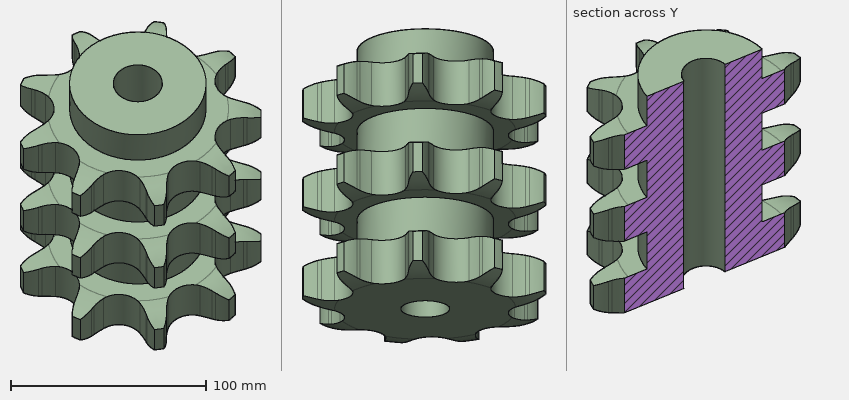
import cadquery as cq
import math

TOTAL_HEIGHT = 140.0
HUB_DIAMETER = 70.0
BORE_DIAMETER = 25.0

TOOTH_COUNT = 9
CHAIN_PITCH = 38.1
ROLLER_DIAMETER = 25.3
TIP_DIAMETER = 126.4

STRAND_COUNT = 3
STRAND_SPACING = 48.3
TOOTH_WIDTH = 23.7

RELIEF_START_DIAMETER = 93.0
RELIEF_RADIUS = CHAIN_PITCH

CUT_MARGIN = 1.4

TOOTH_ANGLE = 360 / TOOTH_COUNT
HALF_TOOTH = math.radians(TOOTH_ANGLE / 2)
PITCH_RADIUS = CHAIN_PITCH / 2 / math.sin(HALF_TOOTH)
TIP_RADIUS = TIP_DIAMETER / 2

SEAT_RADIUS = 1.005 * ROLLER_DIAMETER / 2
HOLLOW_CENTRE_OFFSET = 0.8 * ROLLER_DIAMETER
TOPPING_CENTRE_OFFSET = 1.4 * ROLLER_DIAMETER
HOLLOW_RADIUS = SEAT_RADIUS + HOLLOW_CENTRE_OFFSET
SEAT_END_ANGLE = math.radians(35 + 60 / TOOTH_COUNT)
HOLLOW_SWEEP = math.radians(18 - 56 / TOOTH_COUNT)
TOPPING_ANGLE = math.radians(17 - 64 / TOOTH_COUNT)
STRAIGHT_LENGTH = (
    TOPPING_CENTRE_OFFSET * math.sin(TOPPING_ANGLE)
    - HOLLOW_CENTRE_OFFSET * math.sin(HOLLOW_SWEEP)
)


def polar(centre, radius, angle):
    return (centre[0] + radius * math.cos(angle), centre[1] + radius * math.sin(angle))


def mirrored(point):
    return (-point[0], point[1])


def gap_outline():
    """Closed outline of the gap centred on +Y, from the roller seat out past the tips."""
    roller_centre = (0, PITCH_RADIUS)
    seat_bottom = (0, PITCH_RADIUS - SEAT_RADIUS)

    seat_end = polar(roller_centre, SEAT_RADIUS, math.pi + SEAT_END_ANGLE)
    hollow_centre = polar(roller_centre, HOLLOW_CENTRE_OFFSET, SEAT_END_ANGLE)
    hollow_end_angle = math.pi + SEAT_END_ANGLE - HOLLOW_SWEEP
    hollow_middle = polar(hollow_centre, HOLLOW_RADIUS, hollow_end_angle + HOLLOW_SWEEP / 2)
    hollow_end = polar(hollow_centre, HOLLOW_RADIUS, hollow_end_angle)
    straight_end = polar(hollow_end, STRAIGHT_LENGTH, hollow_end_angle - math.pi / 2)

    topping_centre = polar(roller_centre, TOPPING_CENTRE_OFFSET, math.pi + HALF_TOOTH)
    topping_x = straight_end[0] - topping_centre[0]
    topping_y = straight_end[1] - topping_centre[1]
    topping_radius = math.hypot(topping_x, topping_y)
    topping_start_angle = math.atan2(topping_y, topping_x)

    centre_distance = math.hypot(*topping_centre)
    angle_at_centre = math.acos(
        (topping_radius**2 + centre_distance**2 - TIP_RADIUS**2)
        / (2 * topping_radius * centre_distance)
    )
    to_axis = math.atan2(-topping_centre[1], -topping_centre[0])
    topping_end_angle = to_axis + angle_at_centre
    topping_middle_angle = (topping_start_angle + topping_end_angle) / 2
    topping_middle = polar(topping_centre, topping_radius, topping_middle_angle)
    tip = polar(topping_centre, topping_radius, topping_end_angle)

    outside_scale = 1 + CUT_MARGIN / TIP_RADIUS
    outside = (tip[0] * outside_scale, tip[1] * outside_scale)

    return (
        cq.Workplane("XY")
        .moveTo(*outside)
        .lineTo(*tip)
        .threePointArc(topping_middle, straight_end)
        .lineTo(*hollow_end)
        .threePointArc(hollow_middle, seat_end)
        .threePointArc(seat_bottom, mirrored(seat_end))
        .threePointArc(mirrored(hollow_middle), mirrored(hollow_end))
        .lineTo(*mirrored(straight_end))
        .threePointArc(mirrored(topping_middle), mirrored(tip))
        .lineTo(*mirrored(outside))
        .threePointArc((0, TIP_RADIUS + CUT_MARGIN), outside)
        .close()
    )


def sprocket_blank():
    """Disc with relieved edges on both faces, resting on Z = 0."""
    relief_start = RELIEF_START_DIAMETER / 2
    relief_run = TIP_RADIUS - relief_start

    def relief_drop(run):
        return RELIEF_RADIUS - math.sqrt(RELIEF_RADIUS**2 - run**2)

    middle_radius = relief_start + relief_run / 2
    middle_drop = relief_drop(relief_run / 2)
    tip_drop = relief_drop(relief_run)
    return (
        cq.Workplane("XZ")
        .lineTo(relief_start, 0)
        .threePointArc((middle_radius, middle_drop), (TIP_RADIUS, tip_drop))
        .lineTo(TIP_RADIUS, TOOTH_WIDTH - tip_drop)
        .threePointArc((middle_radius, TOOTH_WIDTH - middle_drop), (relief_start, TOOTH_WIDTH))
        .lineTo(0, TOOTH_WIDTH)
        .close()
        .revolve(360, (0, 0, 0), (0, 1, 0))
    )


def sprocket():
    """One toothed disc, resting on Z = 0."""
    disc = sprocket_blank()
    gap = gap_outline().extrude(TOOTH_WIDTH)
    for index in range(TOOTH_COUNT):
        disc = disc.cut(gap.rotate((0, 0, 0), (0, 0, 1), index * TOOTH_ANGLE))
    return disc


body = cq.Workplane("XY").circle(HUB_DIAMETER / 2).extrude(TOTAL_HEIGHT)
strand = sprocket()
for index in range(STRAND_COUNT):
    body = body.union(strand.translate((0, 0, index * STRAND_SPACING)))

result = body.faces(">Z").workplane().hole(BORE_DIAMETER)